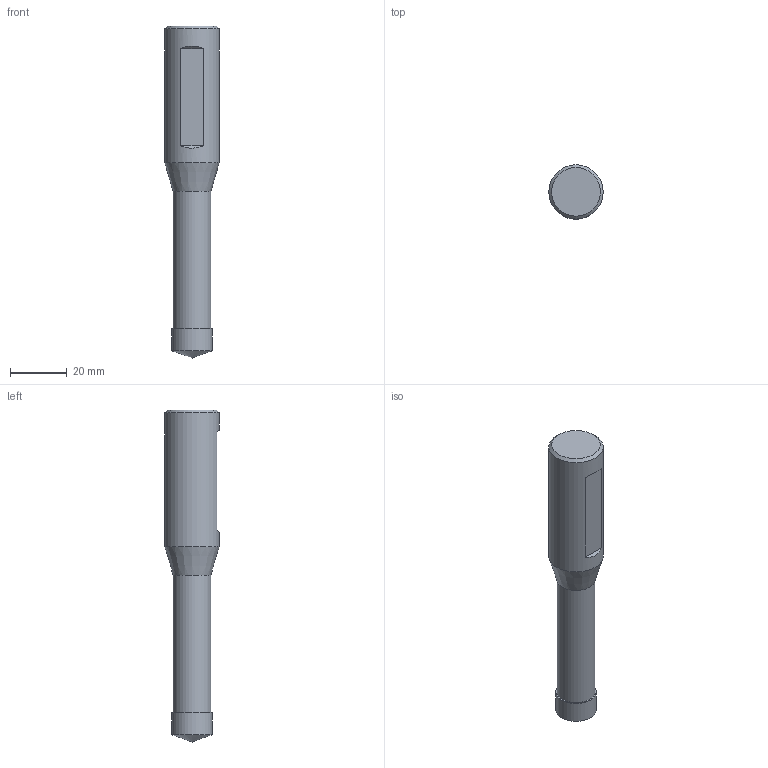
import cadquery as cq
import math

overall_length = 116.5
shank_radius = 19.05 / 2
shank_length = 48.0
shank_chamfer = 1.0
taper_length = 10.0
neck_radius = 13.3 / 2
tip_radius = 14.25 / 2
tip_band_length = 7.7
point_slope = 20.0

flat_depth = 0.87
flat_length = 34.1
flat_top_offset = 7.9

point_height = tip_radius * math.tan(math.radians(point_slope))
tip_top = point_height + tip_band_length
shank_bottom = overall_length - shank_length
taper_bottom = shank_bottom - taper_length
flat_top = overall_length - flat_top_offset
flat_bottom = flat_top - flat_length


def revolve_about_z(profile):
    """Turn a closed (radius, height) profile about the Z axis."""
    return cq.Workplane("XZ").polyline(profile).close().revolve(360, (0, 0), (0, 1))


def clamping_flat_cutter():
    """Prism that leaves the flat and its ramps when cut from the shank."""
    flat_y = -(shank_radius - flat_depth)
    reach = 2 * flat_depth
    profile = [
        (flat_y, flat_bottom),
        (flat_y, flat_top),
        (flat_y - reach, flat_top + reach),
        (flat_y - reach, flat_bottom - reach),
    ]
    return cq.Workplane("YZ").polyline(profile).close().extrude(shank_radius, both=True)


def make_holder():
    """Shank, taper and neck turned as one piece, with the clamping flat."""
    turned = revolve_about_z([
        (0, tip_top),
        (neck_radius, tip_top),
        (neck_radius, taper_bottom),
        (shank_radius, shank_bottom),
        (shank_radius, overall_length - shank_chamfer),
        (shank_radius - shank_chamfer, overall_length),
        (0, overall_length),
    ])
    return turned.cut(clamping_flat_cutter())


def make_tip():
    """Cylindrical band with a shallow conical point, butted against the neck."""
    return revolve_about_z([
        (0, 0),
        (tip_radius, point_height),
        (tip_radius, tip_top),
        (0, tip_top),
    ])


holder = make_holder()
tip = make_tip()

result = cq.Compound.makeCompound([holder.val(), tip.val()])